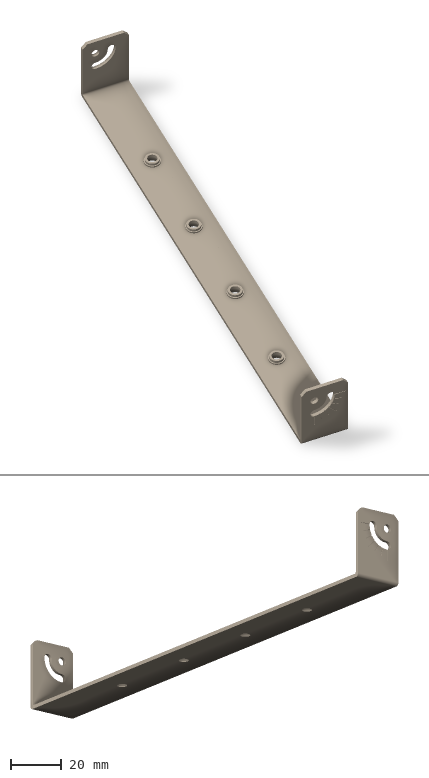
import cadquery as cq
import math

length = 213.0
width = 20.0
height = 29.0
thickness = 1.5
bend_inner_radius = 0.6
bend_outer_radius = 1.3
corner_chamfer = 2.1

bush_count = 4
bush_spacing = 40.0
bush_diameter = 6.0
bush_height = 1.7
bush_foot_diameter = 6.8
bush_foot_height = 0.6
bush_bore = 4.0

pivot_y = -4.5
pivot_z = height - 6.4
pivot_diameter = 3.5
slot_radius = 7.0
slot_width = 3.5

tick_step = 15
major_step = 45
quarter_turn = 90
tick_width = 0.32
tick_depth = 0.2
major_tick_end = 13.5
minor_tick_end = 12.1


def bent_strip():
    """U-shaped sheet with rounded bends and chamfered upper corners."""
    sheet = cq.Workplane("XY").box(length, width, height, centered=(True, True, False))
    sheet = sheet.edges("|Y and <Z").fillet(bend_outer_radius)
    sheet = sheet.edges("|X and >Z").chamfer(corner_chamfer)
    inside = (
        cq.Workplane("XY")
        .workplane(offset=thickness)
        .box(length - 2 * thickness, width, height, centered=(True, True, False))
        .edges("|Y and <Z")
        .fillet(bend_inner_radius)
    )
    return sheet.cut(inside)


def bush_row(diameter, rise):
    """Row of upright cylinders from the underside of the strip to a rise above it."""
    return (
        cq.Workplane("XY")
        .rarray(bush_spacing, 2.1, bush_count, 1)
        .circle(diameter / 2)
        .extrude(thickness + rise)
    )


def pivot_plane():
    """YZ plane at the left end, with its origin on the pivot axis."""
    return cq.Workplane("YZ", origin=(-length / 2, pivot_y, pivot_z))


def pivot_cuts():
    """Pivot hole and curved slot, running through both side walls."""
    inner = slot_radius - slot_width / 2
    outer = slot_radius + slot_width / 2
    diagonal = math.sqrt(0.5)
    hole = pivot_plane().circle(pivot_diameter / 2).extrude(length)
    slot = (
        pivot_plane()
        .moveTo(outer, 0)
        .threePointArc((outer * diagonal, -outer * diagonal), (0, -outer))
        .threePointArc((-slot_width / 2, -slot_radius), (0, -inner))
        .threePointArc((inner * diagonal, -inner * diagonal), (inner, 0))
        .threePointArc((slot_radius, slot_width / 2), (outer, 0))
        .close()
        .extrude(length)
    )
    return hole.union(slot)


def scale_ticks():
    """Radial grooves from the slot outwards, longer at every major angle."""
    ticks = cq.Workplane("YZ")
    for angle in range(0, quarter_turn + 1, tick_step):
        end = minor_tick_end if angle % major_step else major_tick_end
        tick = (
            pivot_plane()
            .center((slot_radius + end) / 2, 0)
            .rect(end - slot_radius, tick_width)
            .extrude(tick_depth)
            .rotate((0, pivot_y, pivot_z), (1, pivot_y, pivot_z), -angle)
        )
        ticks = ticks.add(tick)
    left = ticks.combine()
    return left.union(left.mirror("YZ"))


result = bent_strip()
result = result.union(bush_row(bush_foot_diameter, bush_foot_height))
result = result.union(bush_row(bush_diameter, bush_height))
result = result.cut(bush_row(bush_bore, bush_height))
result = result.cut(pivot_cuts()).cut(scale_ticks())